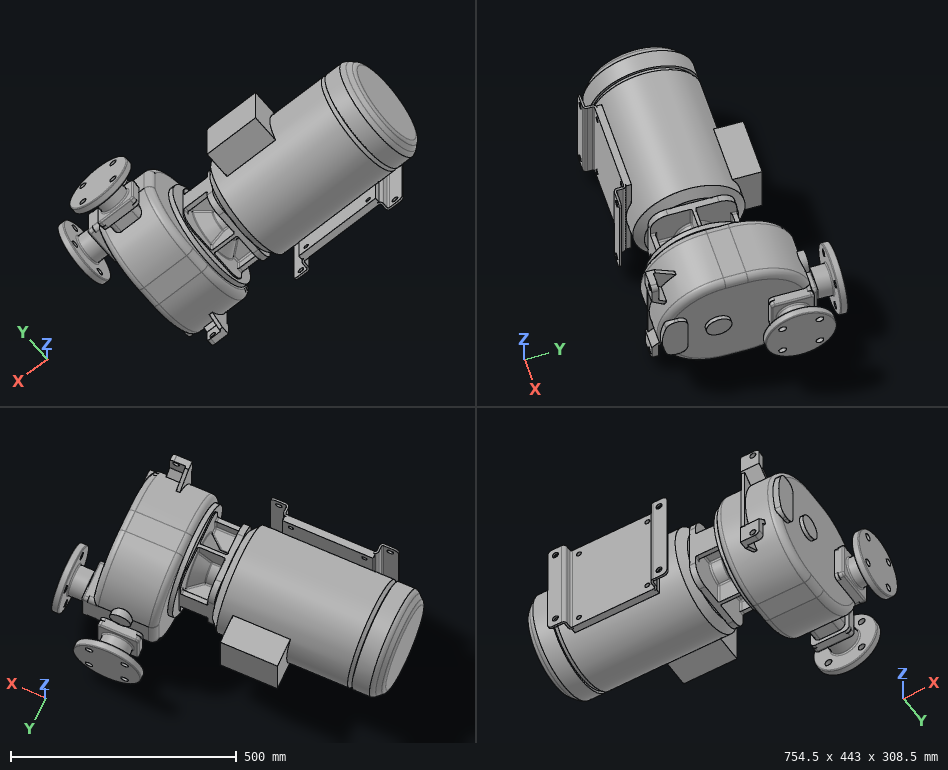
import cadquery as cq
import math


motor_radius = 130.5
motor_length = 417.0
end_face_radius = 102.5
cowl_length = 69.5
groove_radius = 124.0
groove_end = 80.0
drive_end_taper = 19.0
drive_end_radius = 109.5

box_start = 228.0
box_length = 139.5
box_height = 139.0
box_reach = 180.0

foot_plane = -161.0
sheet = 5.0
bend_radius = 4.0
bracket_half_height = 130.5
spacer_start = 130.0
spacer_length = 220.0
spacer_back = -118.5
sheet_back = -130.5
left_foot_start = 84.5
foot_width = 45.0
foot_corner = 12.0
bracket_hole_height = 108.0
foot_hole_inset = 20.0
foot_hole_diameter = 15.0
spacer_hole_inset = 21.0
spacer_hole_diameter = 12.0

backplate_start = 502.5
backplate_radius = 136.0
lantern_half = 100.0
lantern_corner = 41.0
lantern_flange = 16.0
lantern_pad = 3.0
lantern_fillet = 4.0
hub_radius = 42.0
cone_start = 465.5
cone_end_radius = 73.0
rib_thickness = 8.0
side_plate_thickness = 11.0
side_plate_half = 38.5

casing_start = 514.5
casing_end = 671.5
casing_height = 308.5
casing_radius = casing_height / 2
casing_z = -9.0
casing_shift = 52.0
casing_flat = 200.0
casing_fillet = 17.0

port_flange_radius = 83.0
port_flange_thickness = 18.0
port_rim_fillet = 2.0
port_pipe_radius = 37.0
port_root_fillet = 3.0
port_block_side = 101.0
port_block_corner = 12.0
port_cap_thickness = 14.0
port_cap_corner = 8.0
port_block_fillet = 4.0
port_bolt_radius = 61.0
port_bolt_diameter = 17.0
port_bolts = 4
suction_y = 149.5
suction_block_face = 695.0
suction_face = 754.5
discharge_x = 597.0
discharge_drop = 60.0
discharge_z = casing_z - discharge_drop
discharge_block_face = 222.5
discharge_face = 282.0
neck_side = 78.5
neck_corner = 14.0

filler_radius = 26.0
filler_z = 31.0
filler_top = 210.5
pad_face = 680.5
pad_width = 59.5
plug_y = -18.0
pad_outer_radius = 150.0
pad_half_height = 66.0
pad_corner = 23.0

foot_start = 587.0
foot_web = 9.0
foot_length = 49.0
foot_half_height = 144.0
foot_pad_inner = 94.0
foot_pad_thickness = 16.5
web_thickness = 21.0
foot_slope = math.tan(math.radians(31.5))
brace_slope = math.tan(math.radians(39))
brace_top_y = -113.0
web_top_y = -60.0
web_recess = 4.0
casing_foot_corner = 11.0
casing_foot_hole_diameter = 15.0
casing_foot_hole_x = 619.5
casing_foot_hole_z = 130.5


def block(x_range, y_range, z_range):
    """Box spanning the given ranges."""
    spans = [high - low for low, high in (x_range, y_range, z_range)]
    corner = (x_range[0], y_range[0], z_range[0])
    return cq.Workplane("XY").box(*spans, centered=False).translate(corner)


def motor():
    """Turned motor body with a rounded cowl and a groove behind it."""
    taper_start = motor_length - drive_end_taper
    profile = (
        cq.Workplane("XY")
        .lineTo(0, end_face_radius)
        .threePointArc((1.1, 109.0), (4.5, 114.0))
        .lineTo(15.0, 123.0)
        .threePointArc((20.0, 127.5), (27.0, motor_radius))
        .lineTo(cowl_length, motor_radius)
        .lineTo(cowl_length, groove_radius)
        .lineTo(groove_end, motor_radius)
        .lineTo(taper_start, motor_radius)
        .lineTo(motor_length, drive_end_radius)
        .lineTo(motor_length, 0)
        .close()
    )
    return profile.revolve(360, (0, 0, 0), (1, 0, 0))


def terminal_box():
    half = box_height / 2
    return block((box_start, box_start + box_length), (0, box_reach), (-half, half))


def bracket_half(middle):
    """Half of the folded sheet: a foot, an upright leg and a web running to the middle plane."""
    leg_inner = left_foot_start + foot_width
    leg_outer = leg_inner - sheet
    foot_back = foot_plane + sheet
    sheet_front = sheet_back - sheet
    outline = [
        (left_foot_start, foot_plane),
        (leg_inner, foot_plane),
        (leg_inner, sheet_front),
        (middle, sheet_front),
        (middle, sheet_back),
        (leg_outer, sheet_back),
        (leg_outer, foot_back),
        (left_foot_start, foot_back),
    ]
    half = cq.Workplane("XY").polyline(outline).close().extrude(bracket_half_height, both=True)
    half = half.faces("<X").edges("|Y").fillet(foot_corner)
    bends = (
        (leg_outer, foot_back, bend_radius),
        (leg_inner, foot_plane, bend_radius + sheet),
        (leg_inner, sheet_front, bend_radius),
        (leg_outer, sheet_back, bend_radius + sheet),
    )
    for x, y, radius in bends:
        corner = cq.selectors.NearestToPointSelector((x, y, 0))
        half = half.edges(corner).fillet(radius)
    return half


def bracket():
    """Spacer under the motor on a symmetrical folded sheet with two drilled feet."""
    spacer_end = spacer_start + spacer_length
    middle = (spacer_start + spacer_end) / 2
    half = bracket_half(middle)
    body = half.union(half.mirror("YZ", (middle, 0, 0)))
    z_range = (-bracket_half_height, bracket_half_height)
    body = body.union(block((spacer_start, spacer_end), (sheet_back, spacer_back), z_range))

    foot_offset = middle - left_foot_start - foot_hole_inset
    spacer_offset = spacer_length / 2 - spacer_hole_inset
    hole_rows = ((spacer_offset, spacer_hole_diameter), (foot_offset, foot_hole_diameter))
    for offset, diameter in hole_rows:
        drill = (
            cq.Workplane("XZ", origin=(middle, foot_plane, 0))
            .rect(2 * offset, 2 * bracket_hole_height, forConstruction=True)
            .vertices()
            .circle(diameter / 2)
            .extrude(foot_plane - spacer_back)
        )
        body = body.cut(drill)
    return body


def lantern_square(start, thickness):
    side = 2 * lantern_half
    plate = cq.Workplane("YZ", origin=(start, 0, 0)).rect(side, side).extrude(thickness)
    return plate.edges("|X").fillet(lantern_corner)


def lantern():
    """Open bearing frame: end plates, central hub and cone, cross ribs and two side plates."""
    x_range = (motor_length, backplate_start)
    hub = (
        cq.Workplane("XY")
        .moveTo(motor_length, 0)
        .lineTo(motor_length, hub_radius)
        .lineTo(cone_start, hub_radius)
        .lineTo(backplate_start, cone_end_radius)
        .lineTo(backplate_start, 0)
        .close()
        .revolve(360, (0, 0, 0), (1, 0, 0))
    )
    frame = lantern_square(motor_length, lantern_flange).union(hub)
    frame = frame.union(lantern_square(backplate_start - lantern_pad, lantern_pad))

    full = (-lantern_half, lantern_half)
    rib = (-rib_thickness / 2, rib_thickness / 2)
    frame = frame.union(block(x_range, full, rib))
    frame = frame.union(block(x_range, rib, full))

    plate_height = (-side_plate_half, side_plate_half)
    inner = lantern_half - side_plate_thickness
    side_plate_middle = (motor_length + lantern_flange + backplate_start - lantern_pad) / 2
    side_plate_rims = [
        (side_plate_middle, y, z) for y in (-inner, inner) for z in plate_height
    ]
    for y_range in ((-lantern_half, -inner), (inner, lantern_half)):
        frame = frame.union(block(x_range, y_range, plate_height))

    first = motor_length + lantern_flange - lantern_fillet
    last = backplate_start - lantern_pad + lantern_fillet
    reach = lantern_half - lantern_fillet
    arm = lantern_half - lantern_corner
    beside = cq.selectors.BoxSelector((first, -reach, -arm), (last, reach, arm))
    above = cq.selectors.BoxSelector((first, -arm, -reach), (last, arm, reach))
    roots = beside + above
    for x, y, z in side_plate_rims:
        roots = roots - cq.selectors.NearestToPointSelector((x, y, z))
    return frame.edges(roots).fillet(lantern_fillet)


def backplate():
    disc = cq.Workplane("YZ", origin=(backplate_start, 0, 0)).circle(backplate_radius)
    return disc.extrude(casing_start - backplate_start)


def casing():
    """Rounded drum, flattened where the discharge side faces +Y."""
    length = casing_end - casing_start
    outline = (
        cq.Workplane("YZ", origin=(casing_start, casing_shift / 2, casing_z))
        .slot2D(casing_shift + 2 * casing_radius, 2 * casing_radius)
        .extrude(length)
    )
    beyond = block(
        (casing_start, casing_end),
        (casing_flat, casing_flat + casing_radius),
        (casing_z - casing_radius, casing_z + casing_radius),
    )
    drum = outline.cut(beyond)
    return drum.faces("<X or >X").edges().fillet(casing_fillet)


def port_tier(start, end, corner):
    side = port_block_side
    tier = cq.Workplane("XY", origin=(0, 0, start)).rect(side, side).extrude(end - start)
    return tier.edges("|Z").fillet(corner)


def port(block_start, block_face, face):
    """Port along +Z of its own axes: square two-tier block, pipe and bolted flange."""
    cap_start = block_face - port_cap_thickness
    cap = port_tier(cap_start, block_face, port_cap_corner)
    cap = cap.faces(">Z").edges().fillet(port_block_fillet)
    base = port_tier(block_start, cap_start, port_block_corner).union(cap)
    flange_back = face - port_flange_thickness
    root = port_pipe_radius + port_root_fillet
    pipe = (
        cq.Workplane("XZ")
        .moveTo(0, block_face)
        .lineTo(root, block_face)
        .radiusArc((port_pipe_radius, block_face + port_root_fillet), port_root_fillet)
        .lineTo(port_pipe_radius, flange_back - port_root_fillet)
        .radiusArc((root, flange_back), port_root_fillet)
        .lineTo(root, face)
        .lineTo(0, face)
        .close()
        .revolve(360, (0, 0, 0), (0, 1, 0))
    )
    flange = (
        cq.Workplane("XY", origin=(0, 0, flange_back))
        .circle(port_flange_radius)
        .extrude(port_flange_thickness)
        .edges()
        .fillet(port_rim_fillet)
    )
    bolt_holes = (
        cq.Workplane("XY", origin=(0, 0, flange_back))
        .polarArray(port_bolt_radius, 45, 360, port_bolts)
        .circle(port_bolt_diameter / 2)
        .extrude(port_flange_thickness)
    )
    return base.union(pipe).union(flange.cut(bolt_holes))


def suction():
    turned = port(casing_end - casing_fillet, suction_block_face, suction_face)
    return turned.rotate((0, 0, 0), (0, 1, 0), 90).translate((0, suction_y, casing_z))


def discharge():
    turned = port(casing_flat, discharge_block_face, discharge_face)
    turned = turned.rotate((0, 0, 0), (1, 0, 0), -90).translate((discharge_x, 0, discharge_z))
    neck = (
        cq.Workplane("XZ", origin=(discharge_x, casing_flat, discharge_z))
        .rect(neck_side, neck_side)
        .extrude(casing_flat - casing_shift)
        .edges("|Y")
        .fillet(neck_corner)
    )
    return turned.union(neck)


def filler_plug():
    plug = cq.Workplane("XZ", origin=(discharge_x, filler_top, filler_z)).circle(filler_radius)
    return plug.extrude(filler_top - casing_shift)


def cover_pads():
    """Round plug and curved pad standing on the +X face of the casing."""
    start = casing_end - casing_fillet
    height = pad_face - start
    plug = cq.Workplane("YZ", origin=(start, plug_y, casing_z)).circle(pad_width / 2).extrude(height)
    pad = cq.Workplane("YZ", origin=(start, 0, casing_z)).circle(pad_outer_radius).extrude(height)
    limits = block(
        (start, pad_face),
        (-pad_outer_radius, pad_width - pad_outer_radius),
        (casing_z - pad_half_height, casing_z + pad_half_height),
    )
    pad = pad.intersect(limits).edges("|X").fillet(pad_corner)
    return plug.union(pad)


def casing_foot():
    """Thin web under the casing carrying a drilled, braced pad at each end."""
    shoulder_y = foot_plane + foot_pad_thickness
    web_shoulder_y = foot_plane + web_thickness
    web_top_z = foot_half_height - foot_slope * (web_top_y - web_shoulder_y)
    web_bottom = foot_plane + web_recess
    web_outline = [
        (web_bottom, -foot_half_height),
        (web_shoulder_y, -foot_half_height),
        (web_top_y, -web_top_z),
        (web_top_y, web_top_z),
        (web_shoulder_y, foot_half_height),
        (web_bottom, foot_half_height),
    ]
    foot = (
        cq.Workplane("YZ", origin=(foot_start, 0, 0)).polyline(web_outline).close().extrude(foot_web)
    )
    brace_outer_z = foot_pad_inner - brace_slope * (brace_top_y - shoulder_y)
    brace_inner_z = foot_pad_inner - brace_slope * (brace_top_y - foot_plane)
    pad_outline = [
        (foot_plane, foot_pad_inner),
        (foot_plane, foot_half_height),
        (shoulder_y, foot_half_height),
        (shoulder_y, foot_pad_inner),
        (brace_top_y, brace_outer_z),
        (brace_top_y, brace_inner_z),
    ]
    pad = (
        cq.Workplane("YZ", origin=(foot_start, 0, 0)).polyline(pad_outline).close().extrude(foot_length)
    )
    pad = pad.faces(">Z").edges(">X").fillet(casing_foot_corner)
    hole = (
        cq.Workplane("XZ", origin=(casing_foot_hole_x, foot_plane, casing_foot_hole_z))
        .circle(casing_foot_hole_diameter / 2)
        .extrude(-foot_pad_thickness)
    )
    pad = pad.cut(hole)
    return foot.union(pad).union(pad.mirror("XY"))


result = motor()
for piece in (
    terminal_box(),
    bracket(),
    lantern(),
    backplate(),
    casing(),
    suction(),
    discharge(),
    filler_plug(),
    cover_pads(),
    casing_foot(),
):
    result = result.union(piece)